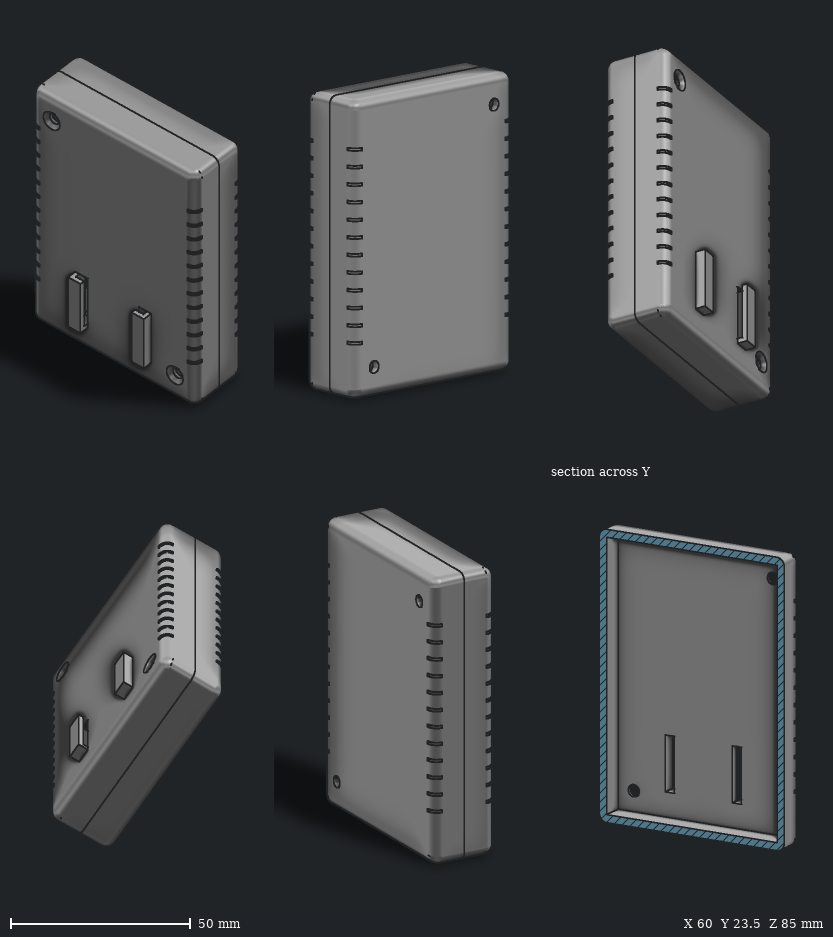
import cadquery as cq
import math

CASE_WIDTH = 60.0
CASE_HEIGHT = 85.0
OUTER_DEPTH = 23.5
TAB_DEPTH = 3.1
CASE_DEPTH = OUTER_DEPTH - TAB_DEPTH
HALF_DEPTH = CASE_DEPTH / 2

FACE_RADIUS = 3.0
CORNER_RADIUS = 2.5
WALL = 2.5

GROOVE_COUNT = 12
GROOVE_PITCH = 5.0
GROOVE_WIDTH = 0.8
GROOVE_DEPTH = 0.25
LOWEST_GROOVE_HEIGHT = 16.0
LOWEST_GROOVE_Z = LOWEST_GROOVE_HEIGHT - CASE_HEIGHT / 2

SCREW_X = 22.5
SCREW_Z = 34.0
SCREW_DIAMETER = 3.5
SCREW_HEAD_DIAMETER = 6.0
SCREW_HEAD_ANGLE = 90

TAB_WIDTH = 4.5
TAB_LENGTH = 18.0
TAB_INNER_X = 9.35
TAB_HEIGHT_ABOVE_BASE = 8.2
TAB_BOTTOM_Z = TAB_HEIGHT_ABOVE_BASE - CASE_HEIGHT / 2
TAB_WALL = 1.5


def case_half(side):
    """Half of the case on the front (side = -1) or back (side = +1) of the parting plane."""
    half = cq.Workplane("XY").box(CASE_WIDTH, HALF_DEPTH, CASE_HEIGHT)
    half = half.translate((0, side * HALF_DEPTH / 2, 0))
    half = half.faces("<Y" if side < 0 else ">Y").edges().fillet(FACE_RADIUS)
    half = half.edges("|Y").fillet(CORNER_RADIUS)
    return half.cut(cavity()).cut(grip_grooves(side)).cut(screw_holes())


def cavity():
    """Hollow inside of the closed case, shared by both halves, leaving an even wall."""
    return cq.Workplane("XY").box(
        CASE_WIDTH - 2 * WALL,
        CASE_DEPTH - 2 * WALL,
        CASE_HEIGHT - 2 * WALL,
    )


def grip_grooves(side):
    """Shallow grooves that follow the rounded edge, on both long edges of one half."""
    floor_radius = FACE_RADIUS - GROOVE_DEPTH
    center_y = side * (HALF_DEPTH - FACE_RADIUS)
    grooves = cq.Workplane("XY")
    for edge in (-1, 1):
        center_x = edge * (CASE_WIDTH / 2 - FACE_RADIUS)
        for index in range(GROOVE_COUNT):
            bottom_z = LOWEST_GROOVE_Z + index * GROOVE_PITCH - GROOVE_WIDTH / 2
            plane = cq.Workplane("XY", origin=(center_x, center_y, bottom_z))
            corner = plane.rect(edge * FACE_RADIUS, side * FACE_RADIUS, centered=False).extrude(GROOVE_WIDTH)
            grooves = grooves.add(corner.cut(plane.circle(floor_radius).extrude(GROOVE_WIDTH)))
    return cq.Compound.makeCompound(grooves.vals())


def screw_holes():
    """Through holes with a conical countersink opening on the front face."""
    head_radius = SCREW_HEAD_DIAMETER / 2
    screw_radius = SCREW_DIAMETER / 2
    head_depth = (head_radius - screw_radius) / math.tan(math.radians(SCREW_HEAD_ANGLE / 2))
    inward = cq.Vector(0, 1, 0)
    holes = cq.Workplane("XY")
    for x, z in ((-SCREW_X, SCREW_Z), (SCREW_X, -SCREW_Z)):
        start = cq.Vector(x, -HALF_DEPTH, z)
        shank = cq.Solid.makeCylinder(screw_radius, CASE_DEPTH, start, inward)
        head = cq.Solid.makeCone(head_radius, screw_radius, head_depth, start, inward)
        holes = holes.union(cq.Workplane(shank)).union(cq.Workplane(head))
    return holes


def tab_block(side):
    """Plain block of a tab on the left (side = -1) or right (side = +1) of the front face."""
    center_x = side * (TAB_INNER_X + TAB_WIDTH / 2)
    block = cq.Workplane("XY").box(TAB_WIDTH, TAB_DEPTH, TAB_LENGTH, centered=(True, False, False))
    return block.translate((center_x, -HALF_DEPTH - TAB_DEPTH, TAB_BOTTOM_Z))


def tab_slot(side):
    """Slot behind a tab, open inward and upward, that runs through the front wall into the cavity."""
    slot_width = TAB_WIDTH - TAB_WALL
    slot_depth = TAB_DEPTH - TAB_WALL + WALL
    slot_length = TAB_LENGTH - TAB_WALL
    center_x = side * (TAB_INNER_X + slot_width / 2)
    slot = cq.Workplane("XY").box(slot_width, slot_depth, slot_length, centered=(True, False, False))
    return slot.translate((center_x, -HALF_DEPTH - TAB_DEPTH + TAB_WALL, TAB_BOTTOM_Z + TAB_WALL))


front_shell = case_half(-1)
for tab_side in (-1, 1):
    front_shell = front_shell.union(tab_block(tab_side)).cut(tab_slot(tab_side))

back_shell = case_half(1)

result = cq.Compound.makeCompound([front_shell.val(), back_shell.val()])